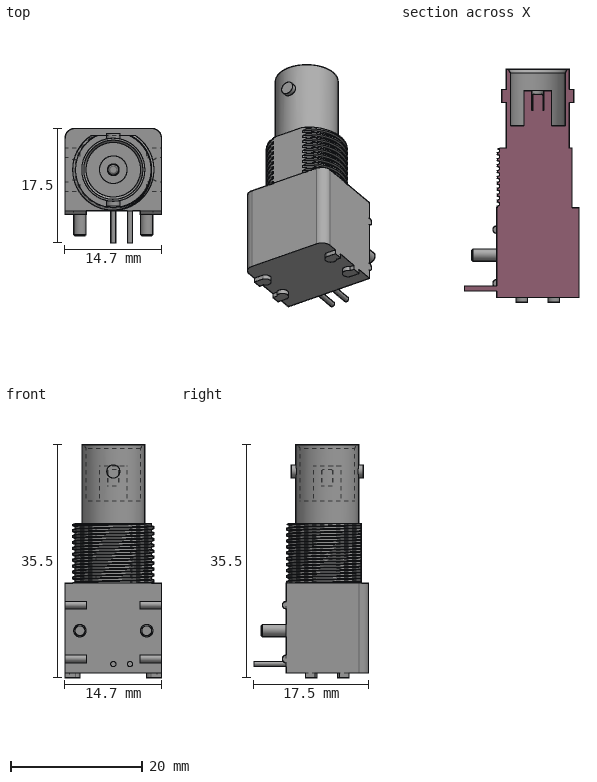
import cadquery as cq
import math


HOUSING_WIDTH = 14.7
HOUSING_BACK_Y = 6.3
HOUSING_DEPTH = 12.55
HOUSING_FRONT_Y = HOUSING_BACK_Y - HOUSING_DEPTH
HOUSING_HEIGHT = 13.7
HOUSING_CORNER_RADIUS = 1.5

BUSHING_HEIGHT = 9.1
BUSHING_TOP_Z = HOUSING_HEIGHT + BUSHING_HEIGHT
THREAD_ROOT_RADIUS = 5.84
THREAD_CREST_RADIUS = 6.18
THREAD_PITCH = 0.9
THREAD_BASE_WIDTH = 0.66
THREAD_CREST_WIDTH = 0.3
THREAD_ROOT_OVERLAP = 0.1
THREAD_CLEARANCE = 0.1
THREAD_FIRST_CREST = 0.35
THREAD_OVERRUN = 3.0
BUSHING_FLAT_Y = 5.22
BUSHING_LEAD_IN_RADIUS = 5.74
BUSHING_LEAD_IN_DEPTH = 0.2

BARREL_HEIGHT = 12.0
BARREL_TOP_Z = BUSHING_TOP_Z + BARREL_HEIGHT
BARREL_RADIUS = 4.8
BORE_MOUTH_RADIUS = 4.5
BORE_RADIUS = 4.15
BORE_TAPER_DEPTH = 0.6
BORE_DEPTH = 8.6
LUG_DIAMETER = 2.0
LUG_SPAN = 11.0
LUG_DROP = 4.1

INSULATOR_RADIUS = 2.1
INSULATOR_DROP = 3.3
CONTACT_HOLE_RADIUS = 0.9
CONTACT_HOLE_DEPTH = 3.0
CONTACT_RADIUS = 0.8
CONTACT_TIP_RADIUS = 0.25
CONTACT_LENGTH = 2.5

PEG_SPACING = 10.16
PEG_Z = 6.47
PEG_DIAMETER = 1.9
PEG_LENGTH = 3.8
PEG_CHAMFER = 0.2
PIN_X_POSITIONS = (0, 2.54)
PIN_Z = 1.4
PIN_DIAMETER = 0.8
PIN_LENGTH = 4.91

RIB_LENGTH = 3.25
RIB_HEIGHT = 0.6
UPPER_RIB_Z = 10.36
UPPER_RIB_WIDTH = 1.12
LOWER_RIB_Z = 2.17
LOWER_RIB_WIDTH = 1.22

FOOT_HEIGHT = 0.7
FOOT_HEAD_RADIUS = 0.9
FOOT_HEAD_X = 5.94
FOOT_HEAD_Y = 2.44
FOOT_TAB_INNER_Y = 1.87
FOOT_TAB_OUTER_Y = 3.32


def cylinder_z(radius, bottom_z, height):
    return cq.Workplane("XY").workplane(offset=bottom_z).circle(radius).extrude(height)


def cylinder_forward(x, z, diameter, start_y, length):
    """Cylinder that runs from start_y toward -Y."""
    plane = cq.Workplane("XZ", origin=(x, start_y, z))
    return plane.circle(diameter / 2).extrude(length)


def mirrored_in_x(body):
    return body.union(body.mirror("YZ"))


def make_housing():
    block = cq.Workplane("XY").box(
        HOUSING_WIDTH, HOUSING_DEPTH, HOUSING_HEIGHT, centered=(True, False, False)
    )
    block = block.translate((0, HOUSING_FRONT_Y, 0))
    return block.edges("|Z and >Y").fillet(HOUSING_CORNER_RADIUS)


def make_thread_ridge():
    """Right-hand helical ridge, longer than the bushing at both ends."""
    start_z = HOUSING_HEIGHT + THREAD_FIRST_CREST - THREAD_PITCH
    helix_height = BUSHING_HEIGHT + 2 * THREAD_PITCH
    helix = cq.Wire.makeHelix(THREAD_PITCH, helix_height, THREAD_ROOT_RADIUS)
    root_x = THREAD_ROOT_RADIUS - THREAD_ROOT_OVERLAP
    profile = cq.Workplane("XZ").polyline(
        [
            (root_x, -THREAD_BASE_WIDTH / 2),
            (THREAD_CREST_RADIUS, -THREAD_CREST_WIDTH / 2),
            (THREAD_CREST_RADIUS, THREAD_CREST_WIDTH / 2),
            (root_x, THREAD_BASE_WIDTH / 2),
        ]
    ).close()
    ridge = profile.sweep(cq.Workplane(obj=helix), isFrenet=True)
    return ridge.translate((0, 0, start_z))


def make_bushing():
    core_bottom_z = HOUSING_HEIGHT - THREAD_OVERRUN
    core = cylinder_z(THREAD_ROOT_RADIUS, core_bottom_z, BUSHING_HEIGHT + 2 * THREAD_OVERRUN)
    core = core.rotate((0, 0, 0), (0, 0, 1), 180)
    envelope_radius = THREAD_CREST_RADIUS + THREAD_CLEARANCE
    lead_in_width = envelope_radius - BUSHING_LEAD_IN_RADIUS
    envelope = cylinder_z(envelope_radius, HOUSING_HEIGHT, BUSHING_HEIGHT)
    envelope = envelope.faces(">Z").chamfer(BUSHING_LEAD_IN_DEPTH, lead_in_width)
    beyond_flat = cq.Workplane("XY").box(
        2 * envelope_radius, envelope_radius, BUSHING_HEIGHT, centered=(True, False, False)
    )
    envelope = envelope.cut(beyond_flat.translate((0, BUSHING_FLAT_Y, HOUSING_HEIGHT)))
    return core.union(make_thread_ridge()).intersect(envelope)


def make_barrel():
    barrel = cylinder_z(BARREL_RADIUS, BUSHING_TOP_Z, BARREL_HEIGHT)
    lug_z = BARREL_TOP_Z - LUG_DROP
    return barrel.union(cylinder_forward(0, lug_z, LUG_DIAMETER, LUG_SPAN / 2, LUG_SPAN))


def make_bore():
    """Stepped cavity with a tapered mouth, insulator post and centre contact left standing."""
    floor_z = BARREL_TOP_Z - BORE_DEPTH
    taper_z = BARREL_TOP_Z - BORE_TAPER_DEPTH
    cavity = (
        cq.Workplane("XZ")
        .polyline(
            [
                (0, floor_z),
                (BORE_RADIUS, floor_z),
                (BORE_RADIUS, taper_z),
                (BORE_MOUTH_RADIUS, BARREL_TOP_Z),
                (0, BARREL_TOP_Z),
            ]
        )
        .close()
        .revolve(360, (0, 0, 0), (0, 1, 0))
    )
    insulator_top_z = BARREL_TOP_Z - INSULATOR_DROP
    insulator = cylinder_z(INSULATOR_RADIUS, floor_z, insulator_top_z - floor_z)
    hole_floor_z = insulator_top_z - CONTACT_HOLE_DEPTH
    contact_hole = cylinder_z(CONTACT_HOLE_RADIUS, hole_floor_z, CONTACT_HOLE_DEPTH)
    contact = cylinder_z(CONTACT_RADIUS, hole_floor_z, CONTACT_LENGTH)
    contact = contact.faces(">Z").edges().fillet(CONTACT_TIP_RADIUS)
    return cavity.cut(insulator).union(contact_hole.cut(contact))


def make_pegs():
    peg = cylinder_forward(PEG_SPACING / 2, PEG_Z, PEG_DIAMETER, HOUSING_FRONT_Y, PEG_LENGTH)
    return mirrored_in_x(peg.faces("<Y").chamfer(PEG_CHAMFER))


def make_pins():
    pins = cq.Workplane("XY")
    for x in PIN_X_POSITIONS:
        pins = pins.add(cylinder_forward(x, PIN_Z, PIN_DIAMETER, HOUSING_FRONT_Y, PIN_LENGTH))
    return pins.combine()


def make_rib_pair(center_z, width):
    """Round-topped ribs, one running inward from each side of the housing."""
    half_width = width / 2
    rib = (
        cq.Workplane("YZ", origin=(HOUSING_WIDTH / 2, HOUSING_FRONT_Y, center_z))
        .moveTo(0, -half_width)
        .threePointArc((-RIB_HEIGHT, 0), (0, half_width))
        .close()
        .extrude(-RIB_LENGTH)
    )
    return mirrored_in_x(rib)


def head_half_chord(y):
    """Half the width in X of the round foot head at the given y."""
    return math.sqrt(FOOT_HEAD_RADIUS**2 - (y - FOOT_HEAD_Y) ** 2)


def make_feet():
    """Four keyhole feet: a tab from the housing side ending in a round head."""
    head_inner_x = FOOT_HEAD_X - FOOT_HEAD_RADIUS
    outer_arc_x = FOOT_HEAD_X - head_half_chord(FOOT_TAB_OUTER_Y)
    inner_arc_x = FOOT_HEAD_X + head_half_chord(FOOT_TAB_INNER_Y)
    side_x = HOUSING_WIDTH / 2
    foot = (
        cq.Workplane("XY")
        .moveTo(side_x, FOOT_TAB_OUTER_Y)
        .lineTo(outer_arc_x, FOOT_TAB_OUTER_Y)
        .threePointArc((head_inner_x, FOOT_HEAD_Y), (inner_arc_x, FOOT_TAB_INNER_Y))
        .lineTo(side_x, FOOT_TAB_INNER_Y)
        .close()
        .extrude(-FOOT_HEIGHT)
    )
    feet = mirrored_in_x(foot)
    return feet.union(feet.mirror("XZ"))


result = (
    make_housing()
    .union(make_bushing())
    .union(make_barrel())
    .cut(make_bore())
    .union(make_pegs())
    .union(make_pins())
    .union(make_rib_pair(UPPER_RIB_Z, UPPER_RIB_WIDTH))
    .union(make_rib_pair(LOWER_RIB_Z, LOWER_RIB_WIDTH))
    .union(make_feet())
)